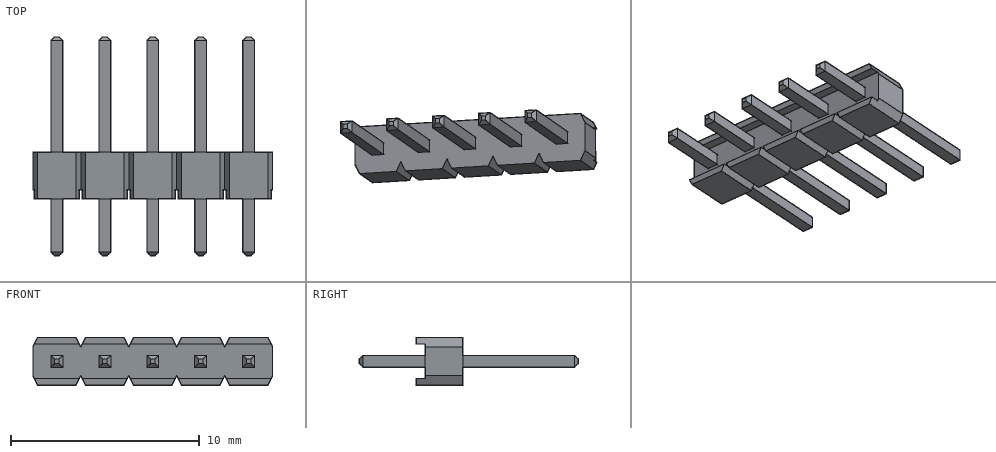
import cadquery as cq

PIN_COUNT = 5
PITCH = 2.54

HOUSING_LENGTH = PIN_COUNT * PITCH
HOUSING_HEIGHT = 2.54
HOUSING_DEPTH = 2.48
NOTCH_DEPTH = 0.51
NOTCH_HALF_WIDTH = 0.25
CHANNEL_HEIGHT = 1.8
CHANNEL_DEPTH = 0.48

PIN_SIDE = 0.64
PIN_LENGTH = 11.6
PIN_BACK_REACH = 6.11
TIP_CHAMFER = 0.2

housing_front = -HOUSING_DEPTH
pin_positions = [(i - (PIN_COUNT - 1) / 2) * PITCH for i in range(PIN_COUNT)]
notch_positions = [(i - PIN_COUNT / 2) * PITCH for i in range(PIN_COUNT + 1)]


def make_pin(x):
    """Square pin along Y with all edges of both tips chamfered."""
    center_y = PIN_BACK_REACH - PIN_LENGTH / 2
    return (
        cq.Workplane("XY")
        .box(PIN_SIDE, PIN_LENGTH, PIN_SIDE)
        .faces("<Y or >Y")
        .chamfer(TIP_CHAMFER)
        .translate((x, center_y, 0))
    )


def make_notch(x, side):
    """V-shaped cutter along Y, in the top (side = 1) or bottom (side = -1) face."""
    outer_z = side * HOUSING_HEIGHT / 2
    root_z = side * (HOUSING_HEIGHT / 2 - NOTCH_DEPTH)
    return (
        cq.Workplane("XZ")
        .moveTo(x - NOTCH_HALF_WIDTH, outer_z)
        .lineTo(x, root_z)
        .lineTo(x + NOTCH_HALF_WIDTH, outer_z)
        .close()
        .extrude(HOUSING_DEPTH)
    )


def make_channel():
    """Cutter for the channel that runs the whole length of the front face."""
    center_y = housing_front + CHANNEL_DEPTH / 2
    return (
        cq.Workplane("XY")
        .box(HOUSING_LENGTH, CHANNEL_DEPTH, CHANNEL_HEIGHT)
        .translate((0, center_y, 0))
    )


def make_pin_holes():
    """Cutters for the square through holes that the pins fill."""
    return (
        cq.Workplane("XZ")
        .pushPoints([(x, 0) for x in pin_positions])
        .rect(PIN_SIDE, PIN_SIDE)
        .extrude(HOUSING_DEPTH)
    )


def make_housing():
    """Block notched between pins and at its ends, with a front channel and pin holes."""
    body = cq.Workplane("XZ").rect(HOUSING_LENGTH, HOUSING_HEIGHT).extrude(HOUSING_DEPTH)
    for x in notch_positions:
        for side in (1, -1):
            body = body.cut(make_notch(x, side))
    return body.cut(make_channel()).cut(make_pin_holes())


housing = make_housing().solids()
pins = [make_pin(x).solids() for x in pin_positions]

result = cq.Compound.makeCompound([housing.val(), *[pin.val() for pin in pins]])